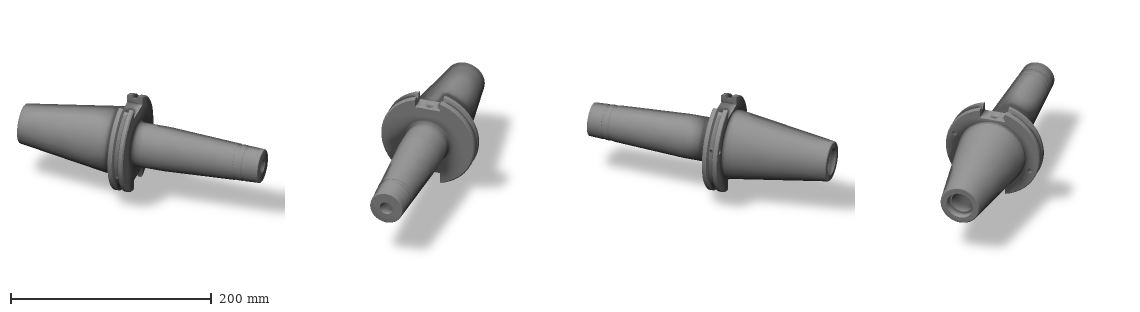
import cadquery as cq
import math

total_length = 251.5
gauge_x = 101.6
flange_start_x = 104.7
flange_end_x = 120.8
shank_end_x = 151.0

taper_ratio = 7 / 24
gauge_diameter = 70.0
taper_end_diameter = gauge_diameter - gauge_x * taper_ratio
taper_end_chamfer = 0.8
relief_diameter = 69.2
relief_ramp = 0.8
relief_fillet = 0.5

flange_diameter = 98.0
flange_front_chamfer = 0.8
flange_back_chamfer = 1.3
groove_x = 112.7
groove_root_diameter = 91.0
groove_root_width = 4.0
groove_mouth_width = 6.8

shank_diameter = 44.5
shank_fillet = 2.5
nose_half_angle = 3.0
nose_end_chamfer = 0.5

recess_start_x = 225.2
recess_end_x = 236.5
recess_depth = 0.38
band_start_x = 229.0
band_end_x = 234.5
band_bevel = 0.8

counterbore_diameter = 26.2
counterbore_lead_diameter = 27.7
counterbore_lead_length = 2.5
counterbore_depth = 7.0
thread_bore_diameter = 22.0
thread_bore_depth = 50.3
bore_step_angle = 120.0
through_bore_diameter = 13.5

slot_width = 26.2
upper_slot_floor = 37.7
lower_slot_floor = 35.0
slot_corner_fillet = 0.8
dimple_diameter = 9.5
dimple_point_angle = 120.0

coolant_angle = 20.0
coolant_circle_radius = 42.0
axial_hole_diameter = 5.0
radial_hole_diameter = 3.3


def nose_radius(x):
    """Outside radius of the conical nose at position x."""
    return shank_diameter / 2 - (x - shank_end_x) * math.tan(math.radians(nose_half_angle))


def make_body():
    taper_end_radius = taper_end_diameter / 2
    gauge_radius = gauge_diameter / 2
    relief_radius = relief_diameter / 2
    flange_radius = flange_diameter / 2
    root_radius = groove_root_diameter / 2
    shank_radius = shank_diameter / 2
    chamfer_x = total_length - nose_end_chamfer

    return (
        cq.Workplane("XY")
        .lineTo(0, taper_end_radius - taper_end_chamfer)
        .lineTo(taper_end_chamfer, taper_end_radius + taper_end_chamfer * taper_ratio / 2)
        .lineTo(gauge_x, gauge_radius)
        .lineTo(gauge_x + relief_ramp, relief_radius)
        .lineTo(flange_start_x - relief_fillet, relief_radius)
        .radiusArc((flange_start_x, relief_radius + relief_fillet), -relief_fillet)
        .lineTo(flange_start_x, flange_radius - flange_front_chamfer)
        .lineTo(flange_start_x + flange_front_chamfer, flange_radius)
        .lineTo(groove_x - groove_mouth_width / 2, flange_radius)
        .lineTo(groove_x - groove_root_width / 2, root_radius)
        .lineTo(groove_x + groove_root_width / 2, root_radius)
        .lineTo(groove_x + groove_mouth_width / 2, flange_radius)
        .lineTo(flange_end_x - flange_back_chamfer, flange_radius)
        .lineTo(flange_end_x, flange_radius - flange_back_chamfer)
        .lineTo(flange_end_x, shank_radius + shank_fillet)
        .radiusArc((flange_end_x + shank_fillet, shank_radius), -shank_fillet)
        .lineTo(shank_end_x, shank_radius)
        .lineTo(recess_start_x, nose_radius(recess_start_x))
        .lineTo(recess_start_x, nose_radius(recess_start_x) - recess_depth)
        .lineTo(band_start_x, nose_radius(band_start_x) - recess_depth)
        .lineTo(band_start_x + band_bevel, nose_radius(band_start_x + band_bevel))
        .lineTo(band_end_x - band_bevel, nose_radius(band_end_x - band_bevel))
        .lineTo(band_end_x, nose_radius(band_end_x) - recess_depth)
        .lineTo(recess_end_x, nose_radius(recess_end_x) - recess_depth)
        .lineTo(recess_end_x, nose_radius(recess_end_x))
        .lineTo(chamfer_x, nose_radius(chamfer_x))
        .lineTo(total_length, nose_radius(total_length) - nose_end_chamfer)
        .lineTo(total_length, 0)
        .close()
        .revolve(360, (0, 0), (1, 0))
    )


def make_bore():
    counterbore_radius = counterbore_diameter / 2
    thread_radius = thread_bore_diameter / 2
    through_radius = through_bore_diameter / 2
    cone_length = (thread_radius - through_radius) / math.tan(math.radians(bore_step_angle / 2))
    return (
        cq.Workplane("XY")
        .lineTo(0, counterbore_lead_diameter / 2)
        .lineTo(counterbore_lead_length, counterbore_radius)
        .lineTo(counterbore_depth, counterbore_radius)
        .lineTo(counterbore_depth, thread_radius)
        .lineTo(thread_bore_depth, thread_radius)
        .lineTo(thread_bore_depth + cone_length, through_radius)
        .lineTo(total_length, through_radius)
        .lineTo(total_length, 0)
        .close()
        .revolve(360, (0, 0), (1, 0))
    )


def make_slot(floor, side):
    """Drive slot across the flange; side is +1 for the top and -1 for the bottom."""
    slot_start_x = flange_start_x - relief_fillet
    slot_length = flange_end_x - slot_start_x
    slot_height = flange_diameter / 2 - floor
    slot = cq.Workplane("XY").box(slot_length, slot_width, slot_height)
    slot = slot.faces("<Z" if side > 0 else ">Z").edges("|X").fillet(slot_corner_fillet)
    return slot.translate((slot_start_x + slot_length / 2, 0, side * (floor + slot_height / 2)))


def make_dimple():
    """Conical dimple in the floor of the upper slot."""
    radius = dimple_diameter / 2
    depth = radius / math.tan(math.radians(dimple_point_angle / 2))
    cone = cq.Solid.makeCone(
        radius, 0, depth, pnt=cq.Vector(groove_x, 0, upper_slot_floor), dir=cq.Vector(0, 0, -1)
    )
    return cq.Workplane(cone)


def make_coolant_hole(angle):
    """Axial hole from the flange face, crossed by a radial hole from groove to bore."""
    outward = cq.Vector(0, math.cos(math.radians(angle)), math.sin(math.radians(angle)))
    axis_point = outward * coolant_circle_radius
    axial = cq.Solid.makeCylinder(
        axial_hole_diameter / 2,
        groove_x - flange_start_x,
        pnt=axis_point + cq.Vector(flange_start_x, 0, 0),
        dir=cq.Vector(1, 0, 0),
    )
    radial = cq.Solid.makeCylinder(
        radial_hole_diameter / 2,
        flange_diameter / 2,
        pnt=cq.Vector(groove_x, 0, 0),
        dir=outward,
    )
    return cq.Workplane(axial).union(cq.Workplane(radial))


result = make_body().cut(make_bore())
result = result.cut(make_slot(upper_slot_floor, 1)).cut(make_slot(lower_slot_floor, -1))
result = result.cut(make_dimple())
for angle in (coolant_angle, coolant_angle + 180):
    result = result.cut(make_coolant_hole(angle))